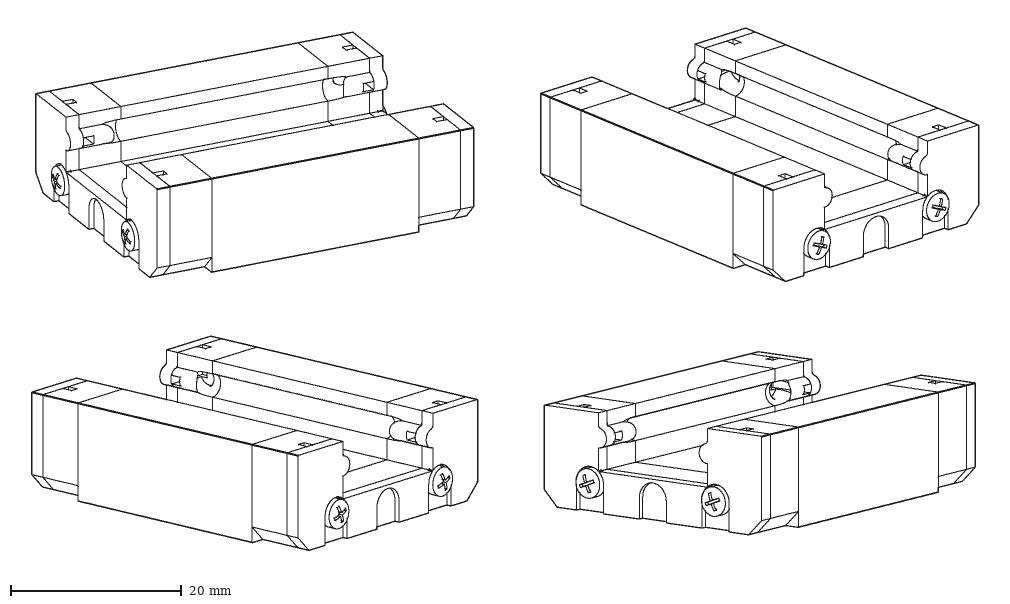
import cadquery as cq
import math

overall_length = 43.0
width = 32.0
height = 12.0
edge_chamfer = 0.1

block_end = 13.55
cap_end = 19.0
seal_end = 20.7
half_length = overall_length / 2

channel_width = 16.05
floor_height = 5.0
wall_x = channel_width / 2

track_height = 9.0
groove_radius = 1.4
turn_radius = 3.65
lip_radius = 1.2
lip_fillet = 0.45

bottom_chamfer = 1.95
oil_slot_width = 1.0
oil_slot_depth = 1.38
oil_slot_x = 11.95
oil_slot_floor = 8.4
oil_port_height = 1.07

recess_depth = 0.65
recess_radius = 1.98
arch_height = 2.6
screw_x = 9.25
screw_height = 3.5

head_radius = 1.75
dome_height = 0.35
cross_length = 2.15
cross_width = 0.35
cross_depth = 0.65
cross_angle = 22.0


def channel_profile():
    """Cross-section common to the block, caps and seals, drawn in the XZ plane."""
    half_width = width / 2
    return cq.Workplane("XZ").polyline([
        (-half_width, 0),
        (half_width, 0),
        (half_width, height),
        (wall_x, height),
        (wall_x, floor_height),
        (-wall_x, floor_height),
        (-wall_x, height),
        (-half_width, height),
    ]).close()


def channel_body(y_start, y_end, lower_chamfer):
    """Length of channel with its outer long edges chamfered."""
    body = channel_profile().extrude(y_start - y_end).translate((0, y_start, 0))
    outer_sides = body.faces("<X or >X")
    body = outer_sides.edges("|Y").edges(">Z").chamfer(edge_chamfer)
    return body.faces("<Z").edges("|Y").chamfer(lower_chamfer)


def rod(x, z, radius, y_start, y_end):
    """Round bar along Y."""
    return cq.Workplane("XZ", origin=(x, y_start, z)).circle(radius).extrude(y_start - y_end)


def both_sides(shape):
    """A shape on the +X side together with its mirror image on the -X side."""
    return shape.union(shape.mirror("YZ"))


def other_end(body):
    """The same body at the -Y end of the carriage."""
    return body.mirror("XZ")


def make_block():
    """Main block, with a ball groove along each channel wall."""
    block = channel_body(-block_end, block_end, edge_chamfer)
    groove = rod(wall_x, track_height, groove_radius, -block_end, block_end)
    return block.cut(both_sides(groove))


def ball_turn():
    """Quarter turn that leads the balls out of the groove and into the +X side of a cap."""
    return (
        cq.Workplane("XZ", origin=(wall_x, block_end, track_height))
        .circle(groove_radius)
        .revolve(90, (turn_radius, 0), (turn_radius, -1))
    )


def oil_slot():
    """Slot in the seal side of a cap: down from the top, then sideways to the ball track."""
    y_middle = cap_end - oil_slot_depth / 2
    down = (
        cq.Workplane("XY", origin=(oil_slot_x, y_middle, oil_slot_floor))
        .rect(oil_slot_width, oil_slot_depth)
        .extrude(height - oil_slot_floor)
    )
    track_side = wall_x - lip_radius
    sideways = (
        cq.Workplane("XY", origin=((track_side + oil_slot_x) / 2, y_middle, oil_slot_floor))
        .rect(oil_slot_x - track_side, oil_slot_depth)
        .extrude(oil_port_height)
    )
    return down.union(sideways)


def make_cap():
    """End cap at the +Y end, with a scoop at each wall that turns the balls round."""
    cap = channel_body(block_end, cap_end, bottom_chamfer)
    scoop = rod(wall_x, track_height, lip_radius, block_end, cap_end)
    return cap.union(both_sides(scoop)).cut(both_sides(ball_turn())).cut(both_sides(oil_slot()))


def seal_lip():
    """Lip of the +X side of a seal, filled out with a concave fillet above the round bar."""
    lip = rod(wall_x, track_height, lip_radius, cap_end, seal_end)
    fillet_height = math.sqrt((lip_radius + lip_fillet) ** 2 - lip_fillet**2)
    touch = lip_radius / (lip_radius + lip_fillet)
    web = (
        cq.Workplane("XZ", origin=(wall_x, cap_end, track_height))
        .polyline([
            (0, 0),
            (0, fillet_height),
            (-lip_fillet, fillet_height),
            (-lip_fillet * touch, fillet_height * touch),
        ])
        .close()
        .extrude(cap_end - seal_end)
    )
    fillet = rod(wall_x - lip_fillet, track_height + fillet_height, lip_fillet, cap_end, seal_end)
    return lip.union(web.cut(fillet))


def arch_recess(x, z):
    """Round-topped recess in the outer face of a seal, open at the bottom."""
    top = rod(x, z, recess_radius, seal_end - recess_depth, seal_end)
    leg = (
        cq.Workplane("XY", origin=(x, seal_end - recess_depth / 2, 0))
        .rect(2 * recess_radius, recess_depth)
        .extrude(z)
    )
    return top.union(leg)


def make_seal():
    """Seal plate at the +Y end, with two screw recesses and a middle arch."""
    seal = channel_body(cap_end, seal_end, bottom_chamfer).union(both_sides(seal_lip()))
    for x, z in [(-screw_x, screw_height), (0, arch_height), (screw_x, screw_height)]:
        seal = seal.cut(arch_recess(x, z))
    return seal


def make_screw(x):
    """Domed screw head at the +Y end, with a cross recess."""
    seat = seal_end - recess_depth
    dome_radius = (head_radius**2 + dome_height**2) / (2 * dome_height)
    corner_radius = cross_width / math.sqrt(2)
    crest = half_length + dome_radius - math.sqrt(dome_radius**2 - corner_radius**2)
    rim = crest - dome_height
    mid_angle = math.asin(head_radius / dome_radius) / 2
    dome_middle = (
        dome_radius * math.sin(mid_angle),
        crest - dome_radius * (1 - math.cos(mid_angle)),
    )
    head = (
        cq.Workplane("XY")
        .moveTo(0, seat)
        .lineTo(head_radius, seat)
        .lineTo(head_radius, rim)
        .threePointArc(dome_middle, (0, crest))
        .close()
        .revolve(360, (0, 0), (0, 1))
    )
    for angle in (cross_angle, cross_angle + 90):
        arm = (
            cq.Workplane("XZ", origin=(0, crest, 0))
            .rect(cross_length, cross_width)
            .extrude(cross_depth)
            .rotate((0, 0, 0), (0, 1, 0), angle)
        )
        head = head.cut(arm)
    return head.translate((x, 0, screw_height))


block = make_block().solids()
end_parts = [make_cap(), make_seal()] + [make_screw(x) for x in (-screw_x, screw_x)]

bodies = [block.val()]
for part in end_parts:
    bodies.append(part.solids().val())
    bodies.append(other_end(part).solids().val())

result = cq.Compound.makeCompound(bodies)